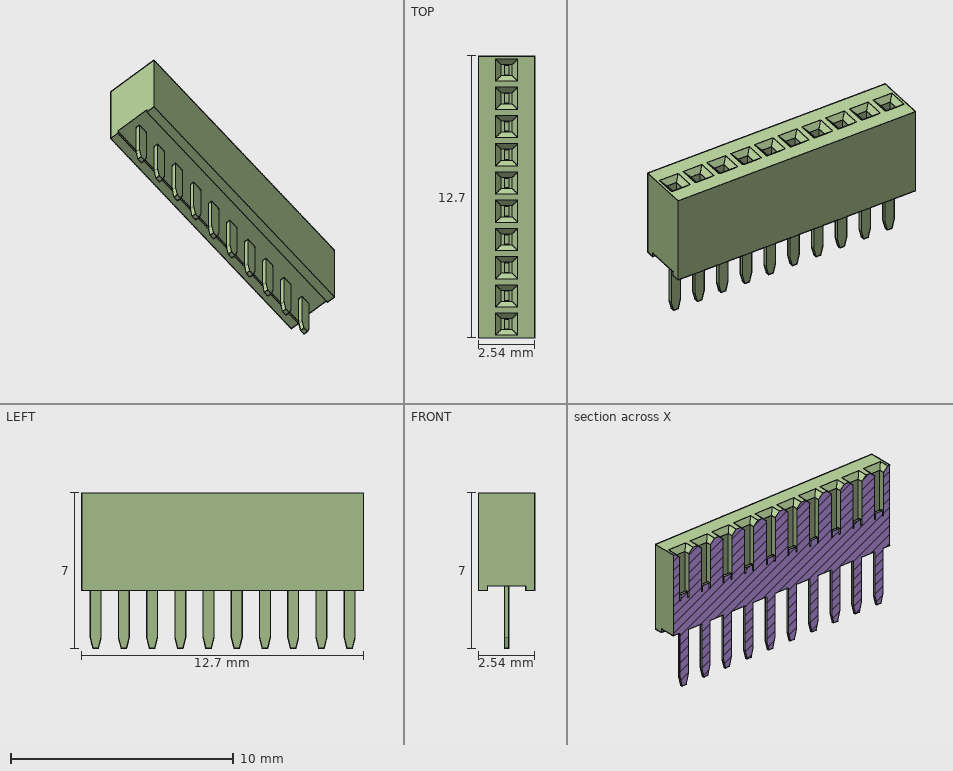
import cadquery as cq

contact_count = 10
pitch = 1.27
overall_height = 7.0

body_width = 2.54
body_length = contact_count * pitch
body_height = 4.4
foot_width = 0.42
foot_height = 0.2

funnel_size = 1.0
throat_size = 0.5 * funnel_size
funnel_depth = 0.25
socket_depth = 2.5

pin_thickness = 0.2
pin_width = 0.5
tip_width = 0.25
taper_length = 0.5
stub_height = 0.3
stub_width = 0.42

tip_level = body_height - overall_height
socket_floor = body_height - socket_depth
pin_top = socket_floor + stub_height


def make_housing():
    """Block standing on two feet that run along its length."""
    block = cq.Workplane("XY").box(body_width, body_length, body_height, centered=(True, True, False))
    channel_width = body_width - 2 * foot_width
    channel = cq.Workplane("XY").box(channel_width, body_length, foot_height, centered=(True, True, False))
    return block.cut(channel)


def make_socket():
    """Square shaft opening into a funnel at the top face."""
    shaft = (
        cq.Workplane("XY")
        .workplane(offset=socket_floor)
        .rect(throat_size, throat_size)
        .extrude(socket_depth)
    )
    funnel = (
        cq.Workplane("XY")
        .workplane(offset=body_height - funnel_depth)
        .rect(throat_size, throat_size)
        .workplane(offset=funnel_depth)
        .rect(funnel_size, funnel_size)
        .loft(ruled=True)
    )
    return shaft.union(funnel)


def make_pin():
    """Flat contact with a tapered lower tip and a narrower upper stub, lying in the YZ plane."""
    half_width = pin_width / 2
    half_stub = stub_width / 2
    half_tip = tip_width / 2
    shoulder_level = tip_level + taper_length
    outline = [
        (-half_tip, tip_level),
        (half_tip, tip_level),
        (half_width, shoulder_level),
        (half_width, socket_floor),
        (half_stub, socket_floor),
        (half_stub, pin_top),
        (-half_stub, pin_top),
        (-half_stub, socket_floor),
        (-half_width, socket_floor),
        (-half_width, shoulder_level),
    ]
    return cq.Workplane("YZ").polyline(outline).close().extrude(pin_thickness / 2, both=True)


def make_connector():
    """Housing with one socket and one contact at every position along Y."""
    connector = make_housing()
    socket = make_socket()
    pin = make_pin()
    first_position = -(contact_count - 1) * pitch / 2
    for index in range(contact_count):
        offset = (0, first_position + index * pitch, 0)
        connector = connector.cut(socket.translate(offset)).union(pin.translate(offset))
    return connector


result = make_connector()